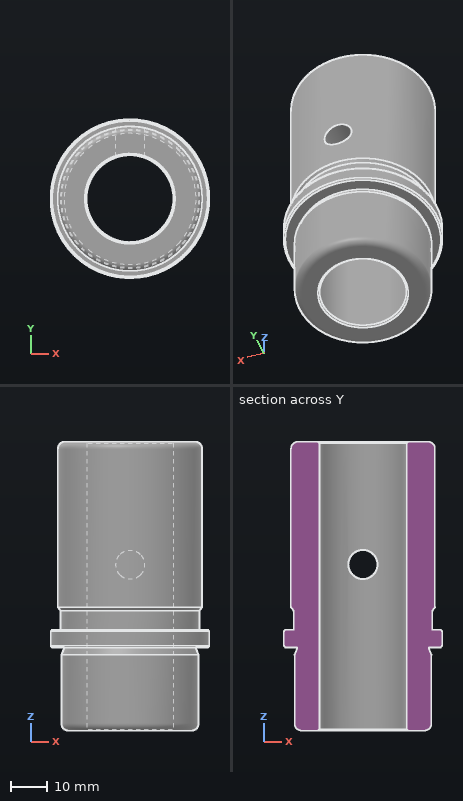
import cadquery as cq

total_height = 80.0
body_radius = 20.0
end_rounding = 2.0

bore_radius = 12.0
bore_chamfer = 0.5

collar_radius = 22.0
collar_bottom = 23.0
collar_height = 5.0
collar_chamfer = 0.5
collar_top = collar_bottom + collar_height

spigot_radius = 19.0
relief_radius = 18.2
relief_height = 2.0

neck_radius = 19.25
neck_top = 33.2
shoulder_height = 1.0

side_hole_diameter = 8.0
side_hole_height = 46.0


def revolved_body():
    """Solid turned outline about Z, with rounded outer ends."""
    outline = (
        cq.Workplane("XZ")
        .lineTo(spigot_radius - end_rounding, 0)
        .radiusArc((spigot_radius, end_rounding), -end_rounding)
        .lineTo(spigot_radius, collar_bottom - relief_height)
        .lineTo(relief_radius, collar_bottom)
        .lineTo(collar_radius - collar_chamfer, collar_bottom)
        .lineTo(collar_radius, collar_bottom + collar_chamfer)
        .lineTo(collar_radius, collar_top - collar_chamfer)
        .lineTo(collar_radius - collar_chamfer, collar_top)
        .lineTo(neck_radius, collar_top)
        .lineTo(neck_radius, neck_top)
        .lineTo(body_radius, neck_top + shoulder_height)
        .lineTo(body_radius, total_height - end_rounding)
        .radiusArc((body_radius - end_rounding, total_height), -end_rounding)
        .lineTo(0, total_height)
        .close()
    )
    return outline.revolve(360, (0, 0, 0), (0, 1, 0))


def bore_cutter():
    """Through bore along Z, widened by a chamfer at both ends."""
    mouth_radius = bore_radius + bore_chamfer
    outline = (
        cq.Workplane("XZ")
        .lineTo(mouth_radius, 0)
        .lineTo(bore_radius, bore_chamfer)
        .lineTo(bore_radius, total_height - bore_chamfer)
        .lineTo(mouth_radius, total_height)
        .lineTo(0, total_height)
        .close()
    )
    return outline.revolve(360, (0, 0, 0), (0, 1, 0))


def side_hole_cutter():
    """Round hole from the axis out through the +Y wall only."""
    return (
        cq.Workplane("XZ")
        .center(0, side_hole_height)
        .circle(side_hole_diameter / 2)
        .extrude(-collar_radius)
    )


result = revolved_body().cut(bore_cutter()).cut(side_hole_cutter())